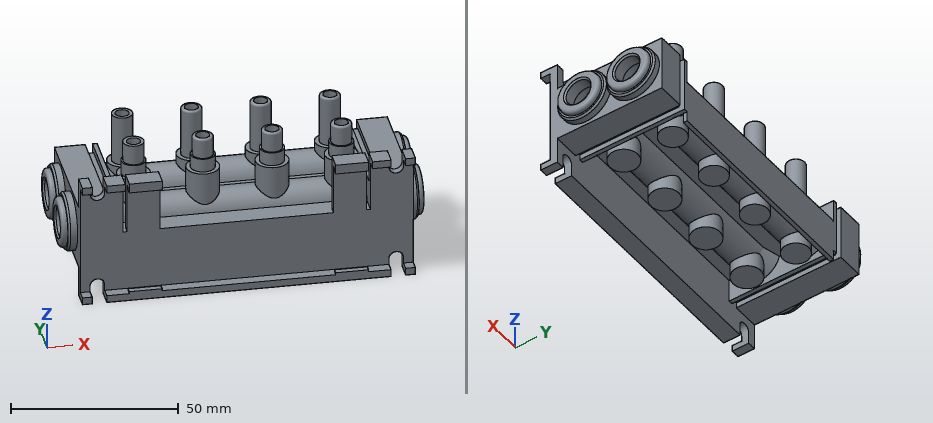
import cadquery as cq

length = 110.2
mount_height = 39.5
total_height = 44.7
depth = 44.4

plate_half_length = 50.6
plate_front_y = 3.4
plate_back_y = 6.1
flange_thickness = 2.3
notch_radius = 2.2
notch_x = 45.4
notch_depth = 6.4
slit_inner_x = 36.4
slit_outer_x = 37.6
clip_inner_x = 26.3
lip_thickness = 0.7
lip_depth = 1.9

block_height = 20.3
block_inner_x = 37.6
groove_inner_x = 39.0
groove_outer_x = 41.2
groove_depth = 2.0

axis_z = mount_height / 2
front_axis_y = 16.6
axis_pitch = 18.0
axis_ys = [front_axis_y, front_axis_y + axis_pitch]
channel_radius = 6.5
port_bore_radius = 4.5
cone_radius = 8.0
cone_start_x = 31.6
port_ring_radius = 8.9
port_ring_end_x = 53.3
port_ring_chamfer_length = 0.7
port_ring_chamfer_width = 0.5

web_thickness = 3.6
skirt_thickness = 1.4
skirt_bottom_z = 6.0

outlet_pitch = 21.0
outlet_row_x = -0.3
outlet_count = 4
outlet_boss_bottom_z = 9.4
outlet_bore_radius = 2.1
stub_radius = 3.2
tip_rounding = 0.7
front_boss_radius = 5.1
front_boss_top_z = 34.2
front_shoulder_radius = 3.7
front_shoulder_top_z = 38.5
back_boss_radius = 4.6
back_boss_top_z = 29.0

collet_radius = 7.7
collet_rounding = 1.1
collet_mouth_chamfer = 0.5
collet_seat_x = plate_half_length
collet_end_x = length / 2


def box(x0, x1, y0, y1, z0, z1):
    return cq.Workplane("XY").box(x1 - x0, y1 - y0, z1 - z0, centered=False).translate((x0, y0, z0))


def cylinder_x(radius, x0, x1, y):
    return cq.Workplane("YZ", origin=(x0, y, axis_z)).circle(radius).extrude(x1 - x0)


def cylinder_z(radius, x, y, z0, z1):
    return cq.Workplane("XY", origin=(x, y, z0)).circle(radius).extrude(z1 - z0)


def both_ends(shape):
    return shape.union(shape.mirror("YZ"))


def make_mounting_plate():
    plate = box(-plate_half_length, plate_half_length, plate_front_y, plate_back_y, 0, mount_height)
    for z in (0, mount_height - flange_thickness):
        plate = plate.union(
            box(-plate_half_length, plate_half_length, 0, plate_back_y, z, z + flange_thickness)
        )
    for z in (flange_thickness, mount_height - flange_thickness - lip_thickness):
        lip = box(clip_inner_x, slit_inner_x, 0, lip_depth, z, z + lip_thickness)
        plate = plate.union(both_ends(lip))

    web_top_z = axis_z + web_thickness / 2
    plate = plate.cut(box(-clip_inner_x, clip_inner_x, 0, plate_back_y, web_top_z, mount_height))
    plate = plate.cut(both_ends(box(slit_inner_x, slit_outer_x, 0, plate_back_y, web_top_z, mount_height)))
    return plate.cut(make_screw_notches())


def make_screw_notches():
    slot_length = 2 * notch_depth
    return (
        cq.Workplane("XZ")
        .pushPoints([(x, z) for x in (-notch_x, notch_x) for z in (0, mount_height)])
        .slot2D(slot_length, 2 * notch_radius, 90)
        .extrude(-plate_back_y)
    )


def make_end_block():
    """Block at the +X end, with a groove around its top, back and bottom and two port rings."""
    z0 = axis_z - block_height / 2
    z1 = axis_z + block_height / 2
    block = box(block_inner_x, plate_half_length, plate_back_y, depth, z0, z1)
    groove = box(groove_inner_x, groove_outer_x, plate_back_y, depth, z0, z1)
    core = box(
        groove_inner_x,
        groove_outer_x,
        plate_back_y,
        depth - groove_depth,
        z0 + groove_depth,
        z1 - groove_depth,
    )
    block = block.cut(groove.cut(core))
    for y in axis_ys:
        block = block.union(make_port_ring(y))
    return block


def make_port_ring(y):
    ring_profile = [
        (plate_half_length, 0),
        (plate_half_length, port_ring_radius),
        (port_ring_end_x - port_ring_chamfer_length, port_ring_radius),
        (port_ring_end_x, port_ring_radius - port_ring_chamfer_width),
        (port_ring_end_x, 0),
    ]
    return revolve_about_axis(ring_profile, y)


def revolve_about_axis(profile, y):
    """Revolve an (x, radius) profile about the port axis at the given Y."""
    solid = cq.Workplane("XY").polyline(profile).close().revolve(360, (0, 0, 0), (1, 0, 0))
    return solid.translate((0, y, axis_z))


def make_channel(y):
    """Round channel that flares into a cone at both end blocks."""
    channel = cylinder_x(channel_radius, -block_inner_x, block_inner_x, y)
    cone_profile = [
        (cone_start_x, 0),
        (cone_start_x, channel_radius),
        (block_inner_x, cone_radius),
        (block_inner_x, 0),
    ]
    return channel.union(both_ends(revolve_about_axis(cone_profile, y)))


def make_web():
    web = box(
        -block_inner_x,
        block_inner_x,
        plate_back_y,
        depth,
        axis_z - web_thickness / 2,
        axis_z + web_thickness / 2,
    )
    skirt = box(-block_inner_x, block_inner_x, depth - skirt_thickness, depth, skirt_bottom_z, axis_z)
    return web.union(skirt)


def make_stub(x, y, z0, is_rounded):
    stub = cylinder_z(stub_radius, x, y, z0, total_height)
    if is_rounded:
        stub = stub.faces(">Z").edges().fillet(tip_rounding)
    return stub


def make_front_outlet(x, y, is_rounded):
    boss = cylinder_z(front_boss_radius, x, y, outlet_boss_bottom_z, front_boss_top_z)
    shoulder = cylinder_z(front_shoulder_radius, x, y, front_boss_top_z, front_shoulder_top_z)
    return boss.union(shoulder).union(make_stub(x, y, front_shoulder_top_z, is_rounded))


def make_back_outlet(x, y, is_rounded):
    boss = cylinder_z(back_boss_radius, x, y, outlet_boss_bottom_z, back_boss_top_z)
    return boss.union(make_stub(x, y, back_boss_top_z, is_rounded))


def make_housing():
    housing = make_mounting_plate().union(make_web()).union(both_ends(make_end_block()))
    for y in axis_ys:
        housing = housing.union(make_channel(y))

    front_y, back_y = axis_ys
    outlet_xs = [outlet_row_x + (i - (outlet_count - 1) / 2) * outlet_pitch for i in range(outlet_count)]
    for i, x in enumerate(outlet_xs):
        is_rounded = i > 0
        housing = housing.union(make_front_outlet(x, front_y, is_rounded))
        housing = housing.union(make_back_outlet(x, back_y, is_rounded))

    for y in axis_ys:
        housing = housing.cut(cylinder_x(port_bore_radius, -length / 2, length / 2, y))
        housing = housing.cut(both_ends(cylinder_x(collet_radius, collet_seat_x, collet_end_x, y)))
        for x in outlet_xs:
            housing = housing.cut(cylinder_z(outlet_bore_radius, x, y, axis_z, total_height))
    return housing


def make_collet(y):
    """Release collet seated in the port ring at the +X end."""
    collet = cylinder_x(collet_radius, collet_seat_x, collet_end_x, y)
    collet = collet.faces(">X").edges().fillet(collet_rounding)
    collet = collet.cut(cylinder_x(port_bore_radius, collet_seat_x, collet_end_x, y))
    mouth = cq.selectors.RadiusNthSelector(0)
    return collet.faces(">X").edges(mouth).chamfer(collet_mouth_chamfer)


manifold = make_housing()
collets = []
for axis_y in axis_ys:
    right_collet = make_collet(axis_y)
    collets += [right_collet.val(), right_collet.mirror("YZ").val()]

result = cq.Compound.makeCompound([manifold.val(), *collets])